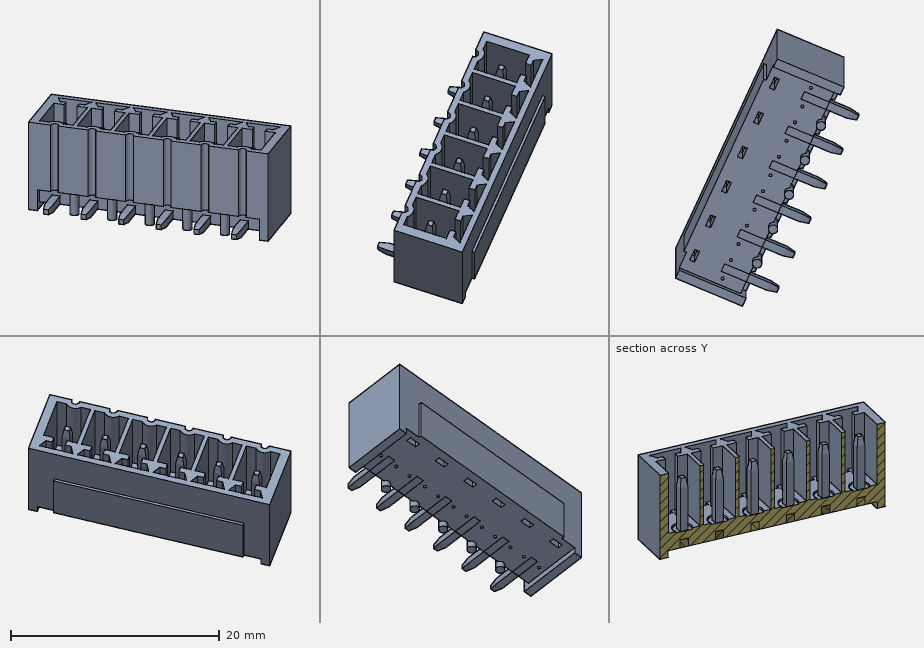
import cadquery as cq

POLES = 6
PITCH = 3.8

HOUSING_LENGTH = 24.25
HOUSING_DEPTH = 7.03
HOUSING_HEIGHT = 9.2

FLOOR_BOTTOM = 0.73
FLOOR_TOP = 2.67
BAY_TOP = 2.2
BAY_DEPTH = 0.58
SIDE_WALL = 0.9

SOCKET_WIDTH = 3.37
SOCKET_FRONT = 0.65
SHOULDER_FRONT = 5.05
SHOULDER_BACK = 5.63
SOCKET_BACK = 6.43
NECK_WIDTH = 1.3
DOVETAIL_FRONT_WIDTH = 2.5

FLUTE_RADIUS = 0.4
FLUTE_AXIS_INSET = 0.05
RIB_RADIUS = 0.95

LATCH_WIDTH = 1.16
LATCH_DEPTH = 0.5

COUNTERSINK_TOP_RADIUS = 1.02
COUNTERSINK_BOTTOM_RADIUS = 0.95
COUNTERSINK_DEPTH = 0.15

POST_DIAMETER = 0.9
BUMP_DIAMETER = 0.3
BUMP_OFFSET = 1.02
BACK_PLATE_LENGTH = 19.04
BACK_PLATE_THICKNESS = 0.27
BACK_PLATE_TOP = 5.5

PIN_SIZE = 0.82
PIN_TIP_SIZE = 0.5
PIN_AXIS_Y = 2.8
PIN_BOTTOM = 0.78
PIN_TOP = 8.2
TIP_LENGTH = 0.97
TAIL_LENGTH = 2.6

pole_xs = [(i - (POLES - 1) / 2) * PITCH for i in range(POLES)]
post_xs = [(a + b) / 2 for a, b in zip(pole_xs, pole_xs[1:])]
post_y = POST_DIAMETER / 2
tail_axis_z = PIN_BOTTOM + PIN_SIZE / 2


def block(x_mid, width, y_front, y_back, z_bottom, z_top):
    """Box centred on x_mid in X, between the given Y and Z limits."""
    box = cq.Workplane("XY").box(width, y_back - y_front, z_top - z_bottom, centered=(True, False, False))
    return box.translate((x_mid, y_front, z_bottom))


def cylinder(x, y, radius, z_bottom, z_top):
    """Upright cylinder between two heights."""
    return cq.Workplane("XY").center(x, y).circle(radius).extrude(z_top - z_bottom).translate((0, 0, z_bottom))


def socket(x):
    """Open-topped pocket of one pole, less the rib that backs the flute."""
    half = SOCKET_WIDTH / 2
    half_neck = NECK_WIDTH / 2
    half_dovetail = DOVETAIL_FRONT_WIDTH / 2
    pocket = (
        cq.Workplane("XY", origin=(x, 0, FLOOR_TOP))
        .moveTo(-half, SOCKET_FRONT)
        .lineTo(half, SOCKET_FRONT)
        .lineTo(half, SHOULDER_FRONT)
        .lineTo(half_neck, SHOULDER_FRONT)
        .lineTo(half_neck, SHOULDER_BACK)
        .lineTo(half_dovetail, SHOULDER_BACK)
        .lineTo(half, SOCKET_BACK)
        .lineTo(-half, SOCKET_BACK)
        .lineTo(-half_dovetail, SHOULDER_BACK)
        .lineTo(-half_neck, SHOULDER_BACK)
        .lineTo(-half_neck, SHOULDER_FRONT)
        .lineTo(-half, SHOULDER_FRONT)
        .close()
        .extrude(HOUSING_HEIGHT - FLOOR_TOP)
    )
    return pocket.cut(cylinder(x, FLUTE_AXIS_INSET, RIB_RADIUS, FLOOR_TOP, HOUSING_HEIGHT))


def flute(x):
    """Round groove down the front wall, open into the bay."""
    return cylinder(x, FLUTE_AXIS_INSET, FLUTE_RADIUS, BAY_TOP, HOUSING_HEIGHT)


def latch_window(x):
    """Rectangular opening through the floor at the back of the socket."""
    return block(x, LATCH_WIDTH, SOCKET_BACK - LATCH_DEPTH, SOCKET_BACK, FLOOR_BOTTOM, FLOOR_TOP)


def countersink(x):
    """Shallow tapered recess round the pin."""
    return (
        cq.Workplane("XY", origin=(x, PIN_AXIS_Y, FLOOR_TOP))
        .circle(COUNTERSINK_TOP_RADIUS)
        .workplane(offset=-COUNTERSINK_DEPTH)
        .circle(COUNTERSINK_BOTTOM_RADIUS)
        .loft(ruled=True)
    )


def bump(x):
    """Ball whose lower half stands out of the underside of the floor."""
    return cq.Workplane("XY").sphere(BUMP_DIAMETER / 2).translate((x, PIN_AXIS_Y, FLOOR_BOTTOM))


def square_taper(workplane):
    """Four-sided pin tip growing from the given plane."""
    return (
        workplane.rect(PIN_SIZE, PIN_SIZE)
        .workplane(offset=TIP_LENGTH)
        .rect(PIN_TIP_SIZE, PIN_TIP_SIZE)
        .loft(ruled=True)
    )


def make_pin(x):
    """Pin that stands in the socket and turns forward under the front wall."""
    half = PIN_SIZE / 2
    shank_top = PIN_TOP - TIP_LENGTH
    shank_front = TIP_LENGTH - TAIL_LENGTH
    upright = block(x, PIN_SIZE, PIN_AXIS_Y - half, PIN_AXIS_Y + half, PIN_BOTTOM, shank_top)
    tail = block(x, PIN_SIZE, shank_front, PIN_AXIS_Y, PIN_BOTTOM, PIN_BOTTOM + PIN_SIZE)
    top_tip = square_taper(cq.Workplane("XY", origin=(x, PIN_AXIS_Y, shank_top)))
    tail_tip = square_taper(cq.Workplane("XZ", origin=(x, shank_front, tail_axis_z)))
    return upright.union(tail).union(top_tip).union(tail_tip)


def make_housing(pins):
    """Socket housing with a seat for every pin."""
    bay_length = HOUSING_LENGTH - 2 * SIDE_WALL
    body = block(0, HOUSING_LENGTH, 0, HOUSING_DEPTH, 0, HOUSING_HEIGHT)
    body = body.cut(block(0, bay_length, 0, HOUSING_DEPTH, 0, FLOOR_BOTTOM))
    body = body.cut(block(0, bay_length, 0, BAY_DEPTH, FLOOR_BOTTOM, BAY_TOP))

    plate_back = HOUSING_DEPTH + BACK_PLATE_THICKNESS
    body = body.union(block(0, BACK_PLATE_LENGTH, HOUSING_DEPTH, plate_back, FLOOR_BOTTOM, BACK_PLATE_TOP))

    for x in post_xs:
        body = body.union(cylinder(x, post_y, POST_DIAMETER / 2, 0, BAY_TOP))
    for x in pole_xs:
        body = body.cut(socket(x)).cut(flute(x)).cut(latch_window(x)).cut(countersink(x))
        body = body.union(bump(x - BUMP_OFFSET)).union(bump(x + BUMP_OFFSET))
    for pin in pins:
        body = body.cut(pin)
    return body


pins = [make_pin(x) for x in pole_xs]
housing = make_housing(pins)

result = cq.Compound.makeCompound([housing.val(), *[pin.val() for pin in pins]])